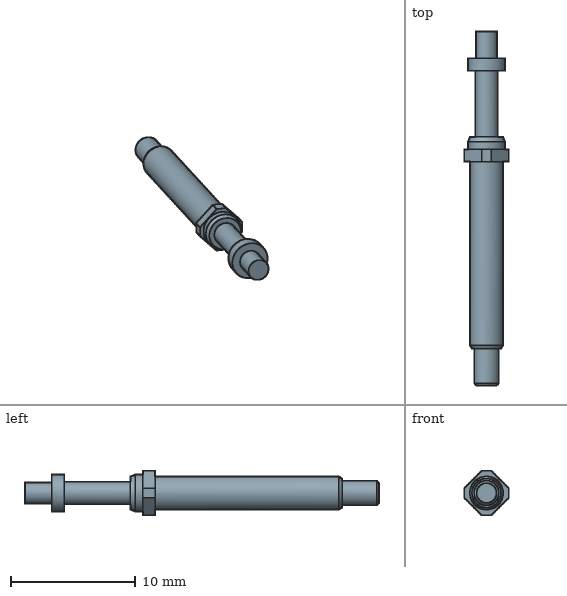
import cadquery as cq

total_length = 28.5
tail_length = 3.0
barrel_length = 15.02
flange_length = 1.0
shoulder_length = 1.0
shoulder_taper_length = 0.4
collar_length = 1.03
tip_length = 2.17

tail_diameter = 2.0
barrel_diameter = 2.68
shoulder_diameter = 3.0
shoulder_top_diameter = 2.68
plunger_diameter = 1.82
collar_diameter = 3.0
tip_diameter = 1.7

flange_width = 3.6
corner_flat_width = 0.77

tail_chamfer = 0.2
barrel_chamfer_length = 0.25
barrel_chamfer_depth = 0.17

tail_start = -total_length / 2
barrel_start = tail_start + tail_length
flange_start = barrel_start + barrel_length
shoulder_start = flange_start + flange_length
plunger_start = shoulder_start + shoulder_length
tip_end = total_length / 2
tip_start = tip_end - tip_length
collar_start = tip_start - collar_length


def make_turned_body():
    """All the round sections, revolved about the Y axis from one half profile."""
    tail_radius = tail_diameter / 2
    barrel_radius = barrel_diameter / 2
    shoulder_radius = shoulder_diameter / 2
    plunger_radius = plunger_diameter / 2
    collar_radius = collar_diameter / 2
    tip_radius = tip_diameter / 2
    profile = [
        (0, tail_start),
        (tail_radius - tail_chamfer, tail_start),
        (tail_radius, tail_start + tail_chamfer),
        (tail_radius, barrel_start),
        (barrel_radius - barrel_chamfer_depth, barrel_start),
        (barrel_radius, barrel_start + barrel_chamfer_length),
        (barrel_radius, shoulder_start),
        (shoulder_radius, shoulder_start),
        (shoulder_radius, plunger_start - shoulder_taper_length),
        (shoulder_top_diameter / 2, plunger_start),
        (plunger_radius, plunger_start),
        (plunger_radius, collar_start),
        (collar_radius, collar_start),
        (collar_radius, tip_start),
        (tip_radius, tip_start),
        (tip_radius, tip_end),
        (0, tip_end),
    ]
    return cq.Workplane("XY").polyline(profile).close().revolve(360, (0, 0, 0), (0, 1, 0))


def make_flange():
    """Square flange turned by 45 degrees, its four corners cut flat."""
    corner_cut = (flange_width - corner_flat_width) / 2
    return (
        cq.Workplane("XY")
        .box(flange_width, flange_length, flange_width)
        .edges("|Y")
        .chamfer(corner_cut)
        .translate((0, flange_start + flange_length / 2, 0))
    )


result = make_turned_body().union(make_flange())